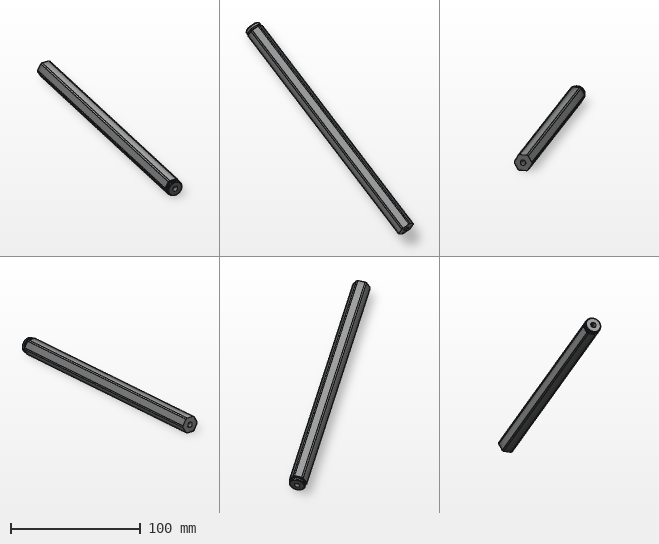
import cadquery as cq
import math

length = 203.2
across_flats = 12.5
corner_diameter = 13.8
bore_diameter = 4.3
spigot_length = 3.7
spigot_diameter = 12.5
groove_width = 1.2
groove_diameter = 11.8
end_chamfer = 0.6

body_length = length - spigot_length
land_start = body_length + groove_width
land_length = length - land_start


def cylinder(start, height, diameter):
    """Round bar along +X starting at the given X."""
    return cq.Workplane("YZ", origin=(start, 0, 0)).circle(diameter / 2).extrude(height)


def hexagonal_body():
    """Hexagonal bar with flats facing +Z and -Z and turned corners."""
    across_corners = across_flats / math.cos(math.pi / 6)
    hexagon = cq.Workplane("YZ").polygon(6, across_corners).extrude(body_length)
    return hexagon.intersect(cylinder(0, body_length, corner_diameter))


def grooved_spigot():
    """Narrow groove followed by a round land with a chamfered end."""
    groove = cylinder(body_length, groove_width, groove_diameter)
    land = cylinder(land_start, land_length, spigot_diameter)
    return groove.union(land.faces(">X").chamfer(end_chamfer))


bore = cylinder(0, length, bore_diameter)
result = hexagonal_body().union(grooved_spigot()).cut(bore)